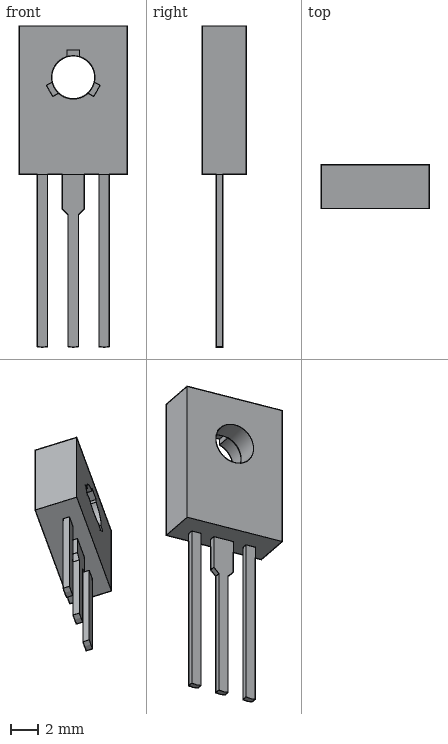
import cadquery as cq

total_height = 23.75
body_width = 8.0
body_depth = 3.25
body_height = 10.97
body_bottom = total_height - body_height
front_y = -body_depth / 2

hole_z = total_height - 3.8
front_hole_diameter = 3.2
rear_hole_diameter = 3.15
notch_count = 3
notch_width = 0.95
notch_reach = 2.02
notch_depth = 1.3

lead_width = 0.78
lead_thickness = 0.5
lead_pitch = 2.28
lead_front_y = front_y + 1.02
tip_rise = 0.05
half_lead = lead_width / 2

shoulder_width = 1.65
shoulder_length = 2.56
taper_length = 0.43


def plane_at(y, z=0):
    """XZ plane facing +Y; its local x is reversed, which the symmetric sketches allow."""
    return cq.Workplane(cq.Plane(origin=(0, y, z), xDir=(-1, 0, 0), normal=(0, 1, 0)))


def make_body():
    body = cq.Workplane().box(body_width, body_depth, body_height, centered=(True, True, False))
    body = body.translate((0, 0, body_bottom))
    rear_hole = plane_at(front_y, hole_z).circle(rear_hole_diameter / 2).extrude(body_depth)
    front_hole = plane_at(front_y, hole_z).circle(front_hole_diameter / 2).extrude(notch_depth)
    body = body.cut(rear_hole).cut(front_hole)

    notch = (
        plane_at(front_y, hole_z)
        .center(0, notch_reach / 2)
        .rect(notch_width, notch_reach)
        .extrude(notch_depth)
    )
    for index in range(notch_count):
        angle = index * 360 / notch_count
        body = body.cut(notch.rotate((0, 0, hole_z), (0, 1, hole_z), angle))
    return body


def make_lead():
    """Straight lead with a shallow pointed tip."""
    return (
        plane_at(lead_front_y)
        .moveTo(-half_lead, body_bottom)
        .lineTo(-half_lead, tip_rise)
        .lineTo(0, 0)
        .lineTo(half_lead, tip_rise)
        .lineTo(half_lead, body_bottom)
        .close()
        .extrude(lead_thickness)
    )


def make_shoulder():
    half_shoulder = shoulder_width / 2
    taper_top = body_bottom - shoulder_length
    taper_bottom = taper_top - taper_length
    return (
        plane_at(lead_front_y)
        .moveTo(-half_shoulder, body_bottom)
        .lineTo(-half_shoulder, taper_top)
        .lineTo(-half_lead, taper_bottom)
        .lineTo(half_lead, taper_bottom)
        .lineTo(half_shoulder, taper_top)
        .lineTo(half_shoulder, body_bottom)
        .close()
        .extrude(lead_thickness)
    )


result = make_body().union(make_shoulder())
for position in (-1, 0, 1):
    result = result.union(make_lead().translate((position * lead_pitch, 0, 0)))